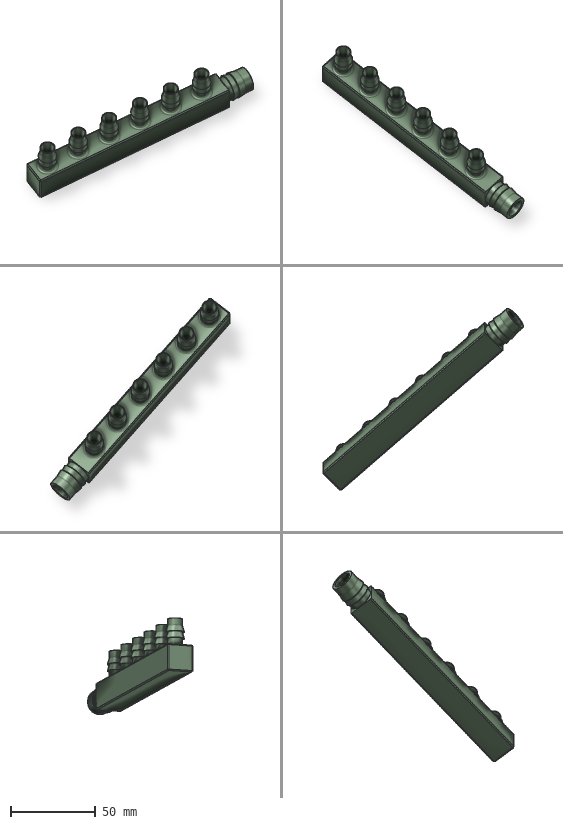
import cadquery as cq
import math

total_length = 149.3
total_height = 33.1

block_width = 16.0
block_height = 16.3
block_length = 132.0
block_chamfer = 0.7
axis_height = block_height / 2

inlet_diameter = 14.8
inlet_ridge_diameter = block_height
inlet_length = total_length - block_length
inlet_barbs = [(3.6, 7.0), (7.5, 12.1)]

main_bore_diameter = 11.0
end_wall = 3.0

outlet_count = 6
outlet_pitch = 21.5
first_outlet_y = 10.0
outlet_diameter = 9.0
outlet_ridge_diameter = 11.0
outlet_root_diameter = 13.0
outlet_root_fillet = (outlet_root_diameter - outlet_diameter) / 2
outlet_length = total_height - block_height
outlet_barbs = [(5.1, 8.7), (9.1, 12.7)]

outlet_throat_diameter = 5.0
outlet_mouth_diameter = 8.0
outlet_flare_radius = 59.7


def revolve_about_z(profile):
    """Close an XZ half profile and revolve it about the Z axis."""
    return profile.close().revolve(360, (0, 0, 0), (0, 1, 0))


def barbed_spigot(diameter, ridge_diameter, length, barbs, root_fillet=0):
    """Solid hose spigot along +Z from Z = 0; each barb steps out at its ridge and tapers towards the tip."""
    radius = diameter / 2
    profile = cq.Workplane("XZ").lineTo(radius + root_fillet, 0)
    if root_fillet:
        arc_offset = root_fillet * (1 - math.sqrt(0.5))
        profile = profile.threePointArc((radius + arc_offset, arc_offset), (radius, root_fillet))
    for ridge, taper_end in barbs:
        profile = (
            profile.lineTo(radius, ridge)
            .lineTo(ridge_diameter / 2, ridge)
            .lineTo(radius, taper_end)
        )
    return revolve_about_z(profile.lineTo(radius, length).lineTo(0, length))


def flared_outlet_bore():
    """Bore from the outlet tip down to the axis of the main bore, widening to the mouth along an arc."""
    throat_radius = outlet_throat_diameter / 2
    flare_width = outlet_mouth_diameter / 2 - throat_radius
    flare_angle = math.acos(1 - flare_width / outlet_flare_radius)
    throat_z = total_height - outlet_flare_radius * math.sin(flare_angle)

    def flare_point(angle):
        return (
            throat_radius + outlet_flare_radius * (1 - math.cos(angle)),
            throat_z + outlet_flare_radius * math.sin(angle),
        )

    return revolve_about_z(
        cq.Workplane("XZ")
        .moveTo(0, axis_height)
        .lineTo(throat_radius, axis_height)
        .lineTo(throat_radius, throat_z)
        .threePointArc(flare_point(flare_angle / 2), flare_point(flare_angle))
        .lineTo(0, total_height)
    )


result = (
    cq.Workplane("XY")
    .box(block_width, block_length, block_height, centered=(True, False, False))
    .edges("not >Y")
    .chamfer(block_chamfer)
)

inlet = (
    barbed_spigot(inlet_diameter, inlet_ridge_diameter, inlet_length, inlet_barbs)
    .rotate((0, 0, 0), (1, 0, 0), -90)
    .translate((0, block_length, axis_height))
)
result = result.union(inlet)

outlet = barbed_spigot(
    outlet_diameter, outlet_ridge_diameter, outlet_length, outlet_barbs, outlet_root_fillet
).translate((0, 0, block_height))
outlet_places = [(0, first_outlet_y + i * outlet_pitch, 0) for i in range(outlet_count)]
for place in outlet_places:
    result = result.union(outlet.translate(place))

main_bore = (
    cq.Workplane("XZ", origin=(0, end_wall, axis_height))
    .circle(main_bore_diameter / 2)
    .extrude(-(total_length - end_wall))
)
result = result.cut(main_bore)

outlet_bore = flared_outlet_bore()
for place in outlet_places:
    result = result.cut(outlet_bore.translate(place))